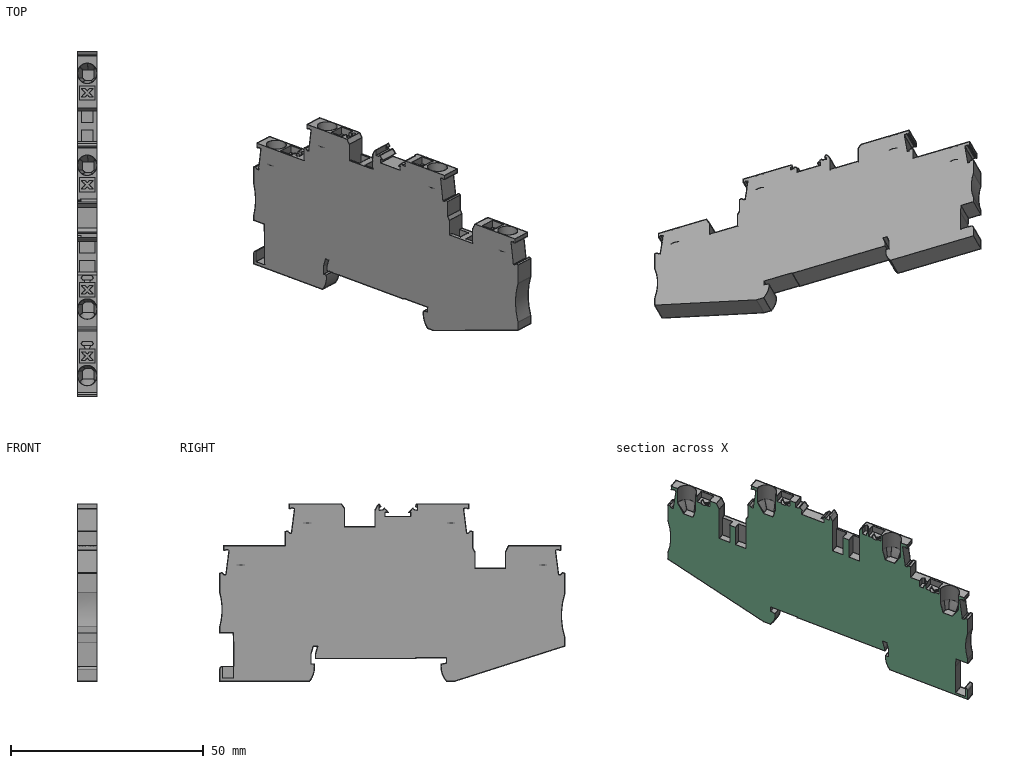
import cadquery as cq

THICKNESS = 5.15
LENGTH = 89.55
HEIGHT = 46.05
MID_X = THICKNESS / 2

LOWER_TIER = 35.25
RAIL_SEAT = 5.9
RAIL_SEAT_STEP = 0.2
BACK_GAP_FLOOR = 29.4
FRONT_GAP_FLOOR = 40.15
MARKER_FLOOR = 42.8

UPPER_FRONT = 17.0
UPPER_BACK = 65.7

BACK_GAP = (66.25, 74.1)
FRONT_GAP = (32.4, 40.3)

BACK_HOOK_ROOT = 51.3
FRONT_HOOK_ROOT = 41.35
HOOK_OVERHANG = 0.6
HOOK_WIDTH = 0.95
HOOK_DROP = 1.1

FOOT_LEDGE = 3.9
FOOT_WALL = 3.6
FOOT_LIP = 0.8
FOOT_SIDE = 0.4
FOOT_POCKET_DEPTH = 3.0

BACK_GAP_CHAMFER_DROP = 1.7
BACK_GAP_CHAMFER_TOP = 74.95
UPPER_BACK_CHAMFER_DROP = 0.7
FRONT_GAP_CHAMFER_DROP = 1.2
FRONT_GAP_CHAMFER_TOP = 31.6

FRONT_RECESS = (14.2, 23.1, 0.6)
BACK_RECESS = (11.5, 22.7, 0.85)

NOTCH_TOP = 12.6
NOTCH_BEND = 10.1
NOTCH_TOP_WALL = 3.5

FRONT_FOOT_END = 23.3
BACK_FOOT_END = 58.9
SLOPE_START = 60.9
SLOPE_END_HEIGHT = 9.15

SOCKET_LENGTH = 3.0
SOCKET_DEPTH = 6.0
BACK_SOCKET_WIDTH = 3.05
FRONT_SOCKET_WIDTH = 4.1

BORE_RADIUS_X = 2.5
BORE_RADIUS_Y = 2.65
BORE_DEPTH = 5.0
TAPER_DEPTH = 3.0
THROAT_X = (-1.2, 1.75)
THROAT_OUTER = 0.9
THROAT_INNER = -1.85
THROAT_CORNER = 0.65

BUTTON_WIDTH = 4.1
BUTTON_LENGTH = 3.65
BUTTON_DEPTH = 2.0
CROSS_SPAN_X = 3.1
CROSS_SPAN_Y = 2.2
CROSS_BAR = 1.0
CROSS_DEPTH = 0.3

SLOT_WIDTH = 3.2
SLOT_LENGTH = 1.1
SLOT_TIP = 0.4
SLOT_DEPTH = 2.0
RAMP_WIDE = 1.8
RAMP_NARROW = 0.9
RAMP_LENGTH = 0.95
RAMP_DEPTH_AT_SLOT = 1.5
RAMP_DEPTH_AT_BUTTON = 0.3

BACK_CONNECTIONS = (
    (83.9, LOWER_TIER, 1, 78.85),
    (60.05, HEIGHT, 1, 55.0),
)
FRONT_CONNECTIONS = (
    (22.75, HEIGHT, -1, 27.75, 30.85),
    (5.5, LOWER_TIER, -1, 10.55, 13.8),
)


def tier_end(end, top, inward):
    """Outline from a tier's top corner, round its lip and latch ridge, to the body's end face."""
    lip_and_ridge = (
        (1.05, 0),
        (1.05, 1.2),
        (1.3, 1.3),
        (1.75, 1.05),
        (2.4, 1.25),
        (1.6, 7.55),
        (1.15, 7.55),
        (0.6, 7.0),
        (0, 7.2),
    )
    return [(end + inward * inset, top - drop) for inset, drop in lip_and_ridge]


def marker_groove():
    """Outline of the groove for marker strips, from the back wall to the front wall."""
    back_hook = [
        (51.05, HEIGHT),
        (50.8, HEIGHT - 0.7),
        (BACK_HOOK_ROOT, HEIGHT - 0.95),
        (BACK_HOOK_ROOT, HEIGHT - 1.6),
        (50.5, HEIGHT - 1.5),
        (50.1, HEIGHT - 1.1),
        (49.05, HEIGHT - 2.2),
        (49.55, HEIGHT - 2.2),
        (49.55, MARKER_FLOOR),
    ]
    front_hook = [
        (42.95, MARKER_FLOOR),
        (42.95, HEIGHT - 2.2),
        (43.8, HEIGHT - 2.2),
        (42.7, HEIGHT - 1.1),
        (42.35, HEIGHT - 1.55),
        (FRONT_HOOK_ROOT, HEIGHT - 1.6),
        (FRONT_HOOK_ROOT, HEIGHT - 1.1),
        (41.8, HEIGHT - 0.7),
        (FRONT_HOOK_ROOT, HEIGHT),
        (40.95, HEIGHT - 0.4),
        (FRONT_GAP[1], HEIGHT - 1.6),
    ]
    return back_hook + front_hook


def body():
    """The flat body, an outline in Y and Z carried through the thickness."""
    top = (
        list(reversed(tier_end(UPPER_BACK, HEIGHT, -1)))
        + marker_groove()
        + [
            (FRONT_GAP[1], FRONT_GAP_FLOOR),
            (FRONT_GAP[0], FRONT_GAP_FLOOR),
            (FRONT_GAP[0], HEIGHT - FRONT_GAP_CHAMFER_DROP),
            (FRONT_GAP_CHAMFER_TOP, HEIGHT),
        ]
        + tier_end(UPPER_FRONT, HEIGHT, 1)
        + [(UPPER_FRONT, LOWER_TIER)]
        + tier_end(0, LOWER_TIER, 1)
    )
    back_gap = [
        (BACK_GAP_CHAMFER_TOP, LOWER_TIER),
        (BACK_GAP[1], LOWER_TIER - BACK_GAP_CHAMFER_DROP),
        (BACK_GAP[1], BACK_GAP_FLOOR),
        (BACK_GAP[0], BACK_GAP_FLOOR),
        (BACK_GAP[0], LOWER_TIER - BACK_GAP_CHAMFER_DROP),
        (UPPER_BACK, LOWER_TIER - UPPER_BACK_CHAMFER_DROP),
    ]
    rail_side = [
        (23.7, 4.55),
        (23.7, 7.0),
        (24.3, 9.1),
        (25.4, 9.1),
        (24.8, 7.0),
        (24.8, RAIL_SEAT),
        (50.9, RAIL_SEAT),
        (50.9, RAIL_SEAT + RAIL_SEAT_STEP),
        (58.8, RAIL_SEAT + RAIL_SEAT_STEP),
        (58.8, 4.75),
        (57.45, 4.5),
    ]
    front_low, front_top, front_depth = FRONT_RECESS
    back_low, back_top, back_depth = BACK_RECESS
    outline = (
        cq.Workplane("YZ")
        .polyline(list(reversed(tier_end(LENGTH, LOWER_TIER, -1))) + back_gap + top)
        .lineTo(0, front_top)
        .threePointArc((front_depth, (front_low + front_top) / 2), (0, front_low))
        .lineTo(0, NOTCH_TOP)
        .lineTo(NOTCH_TOP_WALL, NOTCH_TOP)
        .lineTo(FOOT_WALL, NOTCH_BEND)
        .lineTo(FOOT_WALL, FOOT_LEDGE)
        .lineTo(FOOT_LIP, FOOT_LEDGE)
        .radiusArc((0, FOOT_LEDGE - FOOT_LIP), -FOOT_LIP)
        .lineTo(0, 0)
        .lineTo(FRONT_FOOT_END, 0)
        .threePointArc((24.3, 1.8), (24.55, 4.55))
    )
    for point in rail_side:
        outline = outline.lineTo(*point)
    outline = (
        outline.threePointArc((57.75, 1.9), (BACK_FOOT_END, 0))
        .lineTo(SLOPE_START, 0)
        .lineTo(LENGTH, SLOPE_END_HEIGHT)
        .lineTo(LENGTH, back_low)
        .threePointArc((LENGTH - back_depth, (back_low + back_top) / 2), (LENGTH, back_top))
        .close()
    )
    return outline.extrude(THICKNESS)


def pocket(width, y_min, y_max, top, depth):
    """A rectangular pocket on the middle of the thickness, sunk from the given top level."""
    return (
        cq.Workplane("XY", origin=(MID_X, (y_min + y_max) / 2, top - depth))
        .rect(width, y_max - y_min)
        .extrude(depth)
    )


def corner_cut(x_min, y_min, y_max, z_min, z_max):
    """A box-shaped cut from x_min through to the far side."""
    return (
        cq.Workplane("YZ", origin=(x_min, 0, 0))
        .moveTo(y_min, z_min)
        .lineTo(y_max, z_min)
        .lineTo(y_max, z_max)
        .lineTo(y_min, z_max)
        .close()
        .extrude(THICKNESS - x_min)
    )


def hook_trims():
    """Cuts that leave the hooks standing only along the near side."""
    front = corner_cut(
        HOOK_WIDTH, FRONT_HOOK_ROOT, FRONT_HOOK_ROOT + HOOK_OVERHANG, HEIGHT - HOOK_DROP, HEIGHT
    )
    back = corner_cut(
        HOOK_WIDTH, BACK_HOOK_ROOT - HOOK_OVERHANG, BACK_HOOK_ROOT, HEIGHT - HOOK_DROP, HEIGHT
    )
    return front.union(back)


def foot_pocket():
    """Pocket behind the lip of the front foot."""
    return corner_cut(FOOT_SIDE, FOOT_LIP, FOOT_WALL, FOOT_LEDGE - FOOT_POCKET_DEPTH, FOOT_LEDGE)


def gap_sockets(gap, width, floor):
    """Two sockets, one against each wall of a gap."""
    near = pocket(width, gap[0], gap[0] + SOCKET_LENGTH, floor, SOCKET_DEPTH)
    far = pocket(width, gap[1] - SOCKET_LENGTH, gap[1], floor, SOCKET_DEPTH)
    return near.union(far)


def wire_entry(centre_y, top, outward):
    """Oval bore that tapers to the throat; outward is the Y direction to the tier's end."""
    x0, x1 = THROAT_X
    throat = [
        (x0, THROAT_OUTER),
        (x0, THROAT_INNER + THROAT_CORNER),
        (x0 + THROAT_CORNER, THROAT_INNER),
        (x1 - THROAT_CORNER, THROAT_INNER),
        (x1, THROAT_INNER + THROAT_CORNER),
        (x1, THROAT_OUTER),
    ]
    throat = [(x, outward * y) for x, y in throat]
    bore_floor = cq.Workplane("XY", origin=(MID_X, centre_y, top - BORE_DEPTH))
    bore = bore_floor.ellipse(BORE_RADIUS_X, BORE_RADIUS_Y).extrude(BORE_DEPTH)
    taper = (
        bore_floor.ellipse(BORE_RADIUS_X, BORE_RADIUS_Y)
        .workplane(offset=-TAPER_DEPTH)
        .polyline(throat)
        .close()
        .loft(ruled=True)
    )
    return bore.union(taper)


def button(centre_y, top):
    """Release button pocket with two crossed bars sunk in its floor."""
    half = BUTTON_LENGTH / 2
    cut = pocket(BUTTON_WIDTH, centre_y - half, centre_y + half, top, BUTTON_DEPTH)
    end_x = CROSS_SPAN_X / 2
    for end_y in (CROSS_SPAN_Y / 2, -CROSS_SPAN_Y / 2):
        bar = [(-end_x, -end_y), (-end_x + CROSS_BAR, -end_y), (end_x, end_y), (end_x - CROSS_BAR, end_y)]
        cut = cut.union(
            cq.Workplane("XY", origin=(MID_X, centre_y, top - BUTTON_DEPTH - CROSS_DEPTH))
            .polyline(bar)
            .close()
            .extrude(CROSS_DEPTH)
        )
    return cut


def test_slot(centre_y, top):
    """Six-sided slot with a narrowing ramp that rises towards the button."""
    half_width = SLOT_WIDTH / 2
    flat = half_width - SLOT_TIP
    half_length = SLOT_LENGTH / 2
    slot = (
        cq.Workplane("XY", origin=(MID_X, centre_y, top - SLOT_DEPTH))
        .moveTo(-half_width, 0)
        .lineTo(-flat, half_length)
        .lineTo(flat, half_length)
        .lineTo(half_width, 0)
        .lineTo(flat, -half_length)
        .lineTo(-flat, -half_length)
        .close()
        .extrude(SLOT_DEPTH)
    )
    ramp_start = centre_y - half_length
    ramp_end = ramp_start - RAMP_LENGTH
    funnel = (
        cq.Workplane("XY", origin=(MID_X, 0, top - SLOT_DEPTH))
        .moveTo(-RAMP_WIDE / 2, ramp_start)
        .lineTo(RAMP_WIDE / 2, ramp_start)
        .lineTo(RAMP_NARROW / 2, ramp_end)
        .lineTo(-RAMP_NARROW / 2, ramp_end)
        .close()
        .extrude(SLOT_DEPTH)
    )
    wedge = (
        cq.Workplane("YZ")
        .moveTo(ramp_start, top)
        .lineTo(ramp_start, top - RAMP_DEPTH_AT_SLOT)
        .lineTo(ramp_end, top - RAMP_DEPTH_AT_BUTTON)
        .lineTo(ramp_end, top)
        .close()
        .extrude(THICKNESS)
    )
    return slot.union(funnel.intersect(wedge))


result = body().cut(hook_trims()).cut(foot_pocket())
result = result.cut(gap_sockets(BACK_GAP, BACK_SOCKET_WIDTH, BACK_GAP_FLOOR))
result = result.cut(gap_sockets(FRONT_GAP, FRONT_SOCKET_WIDTH, FRONT_GAP_FLOOR))
for entry_y, top, outward, button_y in BACK_CONNECTIONS:
    result = result.cut(wire_entry(entry_y, top, outward)).cut(button(button_y, top))
for entry_y, top, outward, button_y, slot_y in FRONT_CONNECTIONS:
    result = result.cut(wire_entry(entry_y, top, outward)).cut(button(button_y, top))
    result = result.cut(test_slot(slot_y, top))